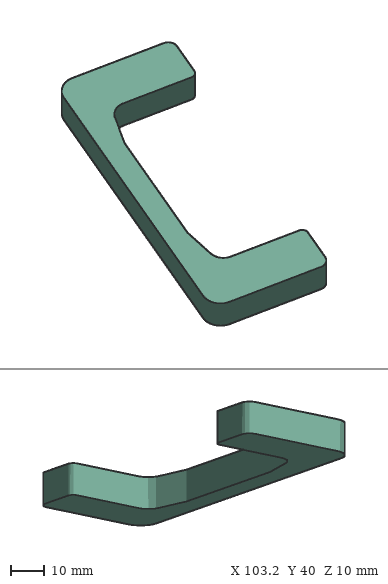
import cadquery as cq

length = 103.2
depth = 40.0
thickness = 10.0

leg_width = 16.3
grip_width = 7.7
grip_flat_length = 41.3
taper_rise = 3.1

grip_corner_radius = 6.0
leg_outer_radius = 3.0
leg_inner_radius = 2.0
inside_radius = 5.0

half_length = length / 2
half_opening = half_length - leg_width
half_flat = grip_flat_length / 2
front_y = -depth / 2
back_y = depth / 2
grip_y = front_y + grip_width
taper_y = grip_y + taper_rise


def round_corners(body, x, y, radius):
    """Fillet the mirrored pair of vertical edges at (-x, y) and (x, y)."""
    for side in (-1, 1):
        edge = cq.selectors.NearestToPointSelector((side * x, y, thickness / 2))
        body = body.edges("|Z").edges(edge).fillet(radius)
    return body


right_half = [
    (half_length, front_y),
    (half_length, back_y),
    (half_opening, back_y),
    (half_opening, taper_y),
    (half_flat, grip_y),
]
left_half = [(-x, y) for x, y in reversed(right_half)]
result = cq.Workplane("XY").polyline(right_half + left_half).close().extrude(thickness)

result = round_corners(result, half_length, front_y, grip_corner_radius)
result = round_corners(result, half_length, back_y, leg_outer_radius)
result = round_corners(result, half_opening, back_y, leg_inner_radius)
result = round_corners(result, half_opening, taper_y, inside_radius)